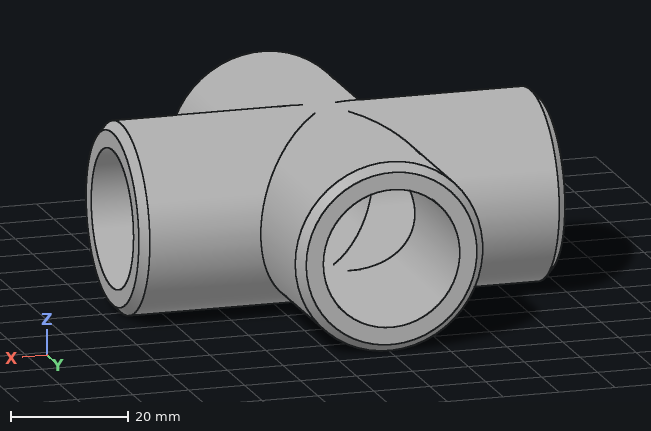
import cadquery as cq

RUN_LENGTH = 76.2
OUTER_DIAMETER = 33.53
BORE_DIAMETER = 24.4
END_CHAMFER = 1.5

RUN_PLANES = ("YZ", "XZ")


def centred_cylinder(plane, diameter):
    """Full-length cylinder centred on the origin, along the plane's normal."""
    return cq.Workplane(plane).circle(diameter / 2).extrude(RUN_LENGTH / 2, both=True)


def outer_run(plane):
    """Solid pipe run with both end edges bevelled."""
    return centred_cylinder(plane, OUTER_DIAMETER).edges("%CIRCLE").chamfer(END_CHAMFER)


def pipe_cross():
    """Four-way cross: two solid runs joined, then bored through along both axes."""
    body = outer_run(RUN_PLANES[0]).union(outer_run(RUN_PLANES[1]))
    for plane in RUN_PLANES:
        body = body.cut(centred_cylinder(plane, BORE_DIAMETER))
    return body


result = pipe_cross()